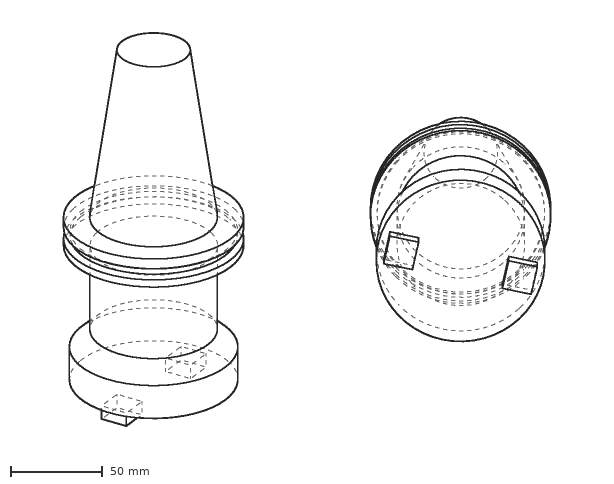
import cadquery as cq

total_height = 211.3
lug_height = 8.2
collar_height = 20.3
shoulder_height = 10.8
flange_bottom = 90.9
flange_top = 108.2
taper_base = 109.9

lower_rim_height = 4.5
bevel_height = 1.7
groove_floor_height = 3.4

flange_diameter = 98.5
groove_diameter = 91.5
collar_diameter = 92.1
neck_diameter = 69.7
taper_tip_diameter = 40.1

lug_width = 16.0
lug_inner_distance = 25.1
lug_outer_distance = 41.2

collar_top = lug_height + collar_height
shoulder_top = collar_top + shoulder_height
lower_rim_top = flange_bottom + lower_rim_height
groove_bottom = lower_rim_top + bevel_height
groove_top = groove_bottom + groove_floor_height
upper_rim_bottom = groove_top + bevel_height


def make_body():
    """Revolve the holder's half profile around the Z axis."""
    steps = [
        (0, lug_height),
        (collar_diameter, lug_height),
        (collar_diameter, collar_top),
        (neck_diameter, shoulder_top),
        (neck_diameter, flange_bottom),
        (flange_diameter, flange_bottom),
        (flange_diameter, lower_rim_top),
        (groove_diameter, groove_bottom),
        (groove_diameter, groove_top),
        (flange_diameter, upper_rim_bottom),
        (flange_diameter, flange_top),
        (neck_diameter, flange_top),
        (neck_diameter, taper_base),
        (taper_tip_diameter, total_height),
        (0, total_height),
    ]
    profile = [(diameter / 2, level) for diameter, level in steps]
    return cq.Workplane("XZ").polyline(profile).close().revolve(360, (0, 0), (0, 1))


def make_lugs():
    """Two rectangular drive lugs, opposite each other along Y."""
    lug_length = lug_outer_distance - lug_inner_distance
    lug_centre = (lug_inner_distance + lug_outer_distance) / 2
    return (
        cq.Workplane("XY")
        .pushPoints([(0, side * lug_centre) for side in (-1, 1)])
        .rect(lug_width, lug_length)
        .extrude(lug_height)
    )


result = make_body().union(make_lugs())